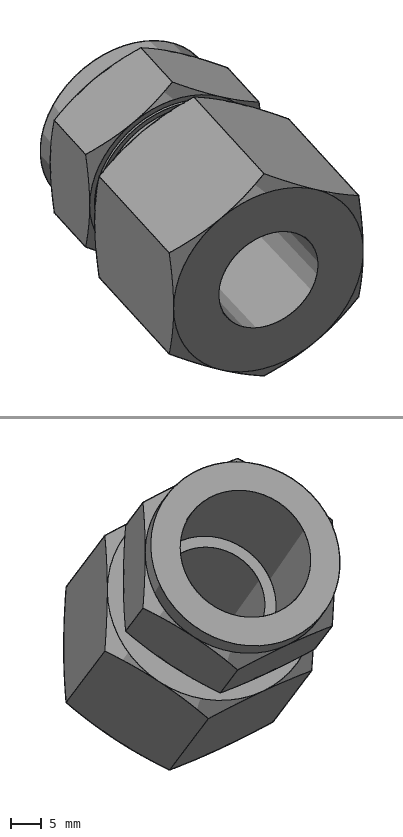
import cadquery as cq
import math

nut_start = 3.55
nut_end = 17.4
ring_end = 17.9
shoulder_end = 19.7
body_start = 21.95
body_end = 49.7

hexagon_sides = 6

nut_flats = 32.0
body_flats = 35.0

collar_diameter = nut_flats
ring_diameter = 30.2
shoulder_diameter = 28.65
neck_diameter = 27.05

socket_diameter = 22.05
socket_depth = body_start
passage_diameter = 18.3

corner_chamfer_angle = 30.0


def cylinder(start, end, diameter):
    """Round bar along X between two axial positions."""
    return cq.Workplane("YZ").workplane(offset=start).circle(diameter / 2).extrude(end - start)


def chamfered_hexagon(start, end, flats):
    """Hexagonal bar with corners up and down and both ends turned to a cone."""
    corner_diameter = flats / math.cos(math.pi / hexagon_sides)
    prism = (
        cq.Workplane("YZ")
        .workplane(offset=start)
        .transformed(rotate=(0, 0, 90))
        .polygon(hexagon_sides, corner_diameter)
        .extrude(end - start)
    )
    face_radius = flats / 2
    corner_radius = corner_diameter / 2
    chamfer_length = (corner_radius - face_radius) * math.tan(math.radians(corner_chamfer_angle))
    turned_envelope = (
        cq.Workplane("XY")
        .moveTo(start, 0)
        .lineTo(start, face_radius)
        .lineTo(start + chamfer_length, corner_radius)
        .lineTo(end - chamfer_length, corner_radius)
        .lineTo(end, face_radius)
        .lineTo(end, 0)
        .close()
        .revolve(360, (0, 0, 0), (1, 0, 0))
    )
    return prism.intersect(turned_envelope)


collar = cylinder(0, nut_start, collar_diameter)
nut = chamfered_hexagon(nut_start, nut_end, nut_flats)
ring = cylinder(nut_end, ring_end, ring_diameter)
shoulder = cylinder(ring_end, shoulder_end, shoulder_diameter)
neck = cylinder(shoulder_end, body_start, neck_diameter)
body = chamfered_hexagon(body_start, body_end, body_flats)
fitting = collar.union(nut).union(ring).union(shoulder).union(neck).union(body)

socket = cylinder(0, socket_depth, socket_diameter)
passage = cylinder(0, body_end, passage_diameter)
result = fitting.cut(socket).cut(passage)